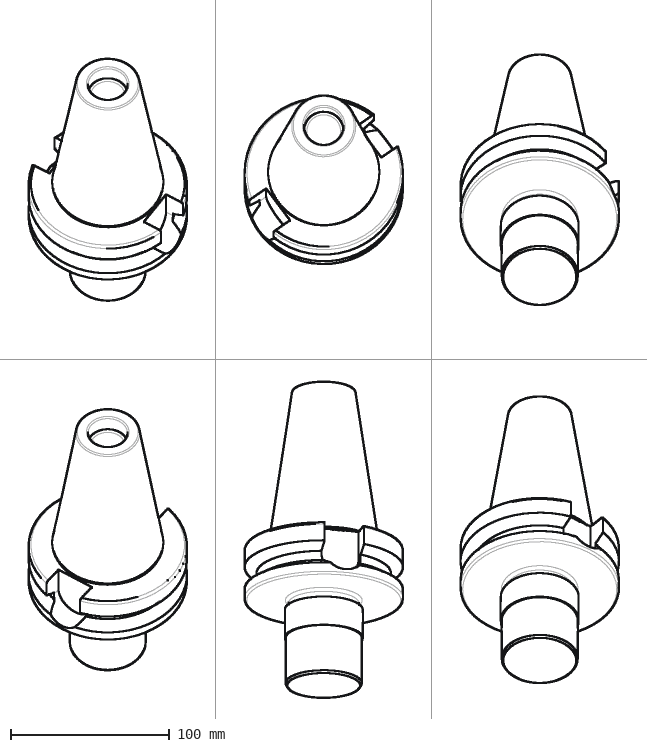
import cadquery as cq
import math

total_height = 196.8

nose_radius = 24.0
nose_chamfer_width = 1.0
nose_chamfer_height = 1.5
collar_radius = 24.6
collar_bottom = 31.9
collar_top = 50.8
neck_radius = 22.2
neck_fillet = 2.0

flange_radius = 50.0
flange_bottom = 57.0
flange_top = 92.0
bottom_edge_fillet = 1.4
top_edge_fillet = 1.5
groove_radius = 42.5
groove_start = 64.5
groove_end = 79.3
groove_flank_angle = 30.0

taper_rate = 7 / 48
taper_bottom = 93.9
taper_tip_radius = 20.0
taper_tip_fillet = 1.0
taper_bottom_chamfer = 0.8

slot_width = 25.8
slot_floor = 35.5
slot_bottom = 60.6
cut_overrun = 2.0

bore_radius = 12.4
bore_depth = 10.8
bore_mouth_fillet = 1.0
drill_radius = 10.6
seat_angle = 30.0
drill_point_angle = 118.0


def turned_body():
    taper_bottom_radius = taper_tip_radius + (total_height - taper_bottom) * taper_rate
    flank_height = (flange_radius - groove_radius) * math.tan(math.radians(groove_flank_angle))
    relief_radius = taper_bottom_radius - taper_bottom_chamfer
    profile = (
        cq.Workplane("XZ")
        .lineTo(nose_radius - nose_chamfer_width, 0)
        .lineTo(nose_radius, nose_chamfer_height)
        .lineTo(nose_radius, collar_bottom)
        .lineTo(collar_radius, collar_bottom)
        .lineTo(collar_radius, collar_top)
        .lineTo(neck_radius, collar_top)
        .lineTo(neck_radius, flange_bottom - neck_fillet)
        .radiusArc((neck_radius + neck_fillet, flange_bottom), neck_fillet)
        .lineTo(flange_radius - bottom_edge_fillet, flange_bottom)
        .radiusArc((flange_radius, flange_bottom + bottom_edge_fillet), -bottom_edge_fillet)
        .lineTo(flange_radius, groove_start)
        .lineTo(groove_radius, groove_start + flank_height)
        .lineTo(groove_radius, groove_end - flank_height)
        .lineTo(flange_radius, groove_end)
        .lineTo(flange_radius, flange_top - top_edge_fillet)
        .radiusArc((flange_radius - top_edge_fillet, flange_top), -top_edge_fillet)
        .lineTo(relief_radius, flange_top)
        .lineTo(relief_radius, taper_bottom - taper_bottom_chamfer)
        .lineTo(taper_bottom_radius, taper_bottom)
        .lineTo(taper_tip_radius, total_height)
        .lineTo(0, total_height)
        .close()
    )
    body = profile.revolve(360, (0, 0, 0), (0, 1, 0))
    return body.faces(">Z").edges().fillet(taper_tip_fillet)


def tip_bore():
    seat_top = total_height - bore_depth
    seat_bottom = seat_top - (bore_radius - drill_radius) * math.tan(math.radians(seat_angle))
    point_height = drill_radius / math.tan(math.radians(drill_point_angle / 2))
    profile = (
        cq.Workplane("XZ")
        .moveTo(0, total_height)
        .lineTo(bore_radius + bore_mouth_fillet, total_height)
        .radiusArc((bore_radius, total_height - bore_mouth_fillet), -bore_mouth_fillet)
        .lineTo(bore_radius, seat_top)
        .lineTo(drill_radius, seat_bottom)
        .lineTo(0, seat_bottom - point_height)
        .close()
    )
    return profile.revolve(360, (0, 0, 0), (0, 1, 0))


def drive_slot(side):
    """Round-bottomed slot, open upward, cut inward from the +X or -X side."""
    half_width = slot_width / 2
    round_center = slot_bottom + half_width
    return (
        cq.Workplane("YZ", origin=(side * slot_floor, 0, 0))
        .moveTo(-half_width, flange_top)
        .lineTo(-half_width, round_center)
        .threePointArc((0, slot_bottom), (half_width, round_center))
        .lineTo(half_width, flange_top)
        .close()
        .extrude(side * (flange_radius - slot_floor + cut_overrun))
    )


result = turned_body().cut(tip_bore())
for side in (-1, 1):
    result = result.cut(drive_slot(side))